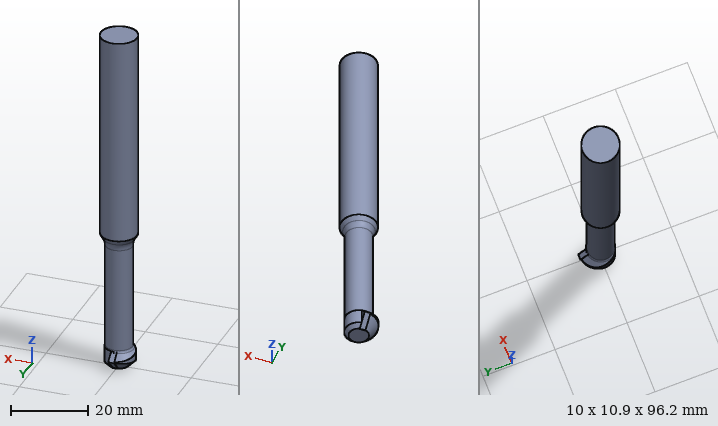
import cadquery as cq
import math

total_length = 96.24
shank_diameter = 10.0
shank_length = 57.7
neck_diameter = 7.4
taper_angle = math.radians(30)
taper_fillet_radius = 4.0

tip_reach = 5.91
tip_height = 3.4
flank_angle = math.radians(45)
insert_width = 1.6
head_bottom = 0.15
head_core_radius = 3.8
head_fillet_radius = 1.0
relief_radius = 4.75

shank_radius = shank_diameter / 2
neck_radius = neck_diameter / 2
shank_bottom = total_length - shank_length
blend_end_radius = neck_radius + taper_fillet_radius * (1 - math.cos(taper_angle))
taper_bottom = shank_bottom - (shank_radius - blend_end_radius) / math.tan(taper_angle)
blend_bottom = taper_bottom - taper_fillet_radius * math.sin(taper_angle)
blend_mid_radius = neck_radius + taper_fillet_radius * (1 - math.cos(taper_angle / 2))
blend_mid_height = blend_bottom + taper_fillet_radius * math.sin(taper_angle / 2)
relief_center_y = relief_radius - head_core_radius
relief_top_y = relief_center_y + relief_radius
rake_x = insert_width / 2
cone_top = tip_height + tip_reach - neck_radius
insert_end_y = tip_reach - tip_height
head_bottom_radius = insert_end_y + head_bottom
head_fillet_top = cone_top + head_fillet_radius * math.tan(flank_angle / 2)
head_fillet_outer_radius = neck_radius + head_fillet_radius * (1 - math.cos(flank_angle))
head_fillet_bottom = head_fillet_top - head_fillet_radius * math.sin(flank_angle)
head_fillet_mid_radius = neck_radius + head_fillet_radius * (1 - math.cos(flank_angle / 2))
head_fillet_mid_height = head_fillet_top - head_fillet_radius * math.sin(flank_angle / 2)


def make_body():
    """Shank, conical transition and neck turned about the tool axis."""
    return (
        cq.Workplane("XZ")
        .moveTo(0, tip_height)
        .lineTo(neck_radius, tip_height)
        .lineTo(neck_radius, blend_bottom)
        .threePointArc((blend_mid_radius, blend_mid_height), (blend_end_radius, taper_bottom))
        .lineTo(shank_radius, shank_bottom)
        .lineTo(shank_radius, total_length)
        .lineTo(0, total_length)
        .close()
        .revolve(360, (0, 0, 0), (0, 1, 0))
    )


def make_head():
    """Double cone trimmed to a part-eccentric outline, relieved on the -X side."""
    double_cone = (
        cq.Workplane("XZ")
        .moveTo(0, head_bottom)
        .lineTo(head_bottom_radius, head_bottom)
        .lineTo(tip_reach, tip_height)
        .lineTo(head_fillet_outer_radius, head_fillet_bottom)
        .threePointArc((head_fillet_mid_radius, head_fillet_mid_height), (neck_radius, head_fillet_top))
        .lineTo(0, head_fillet_top)
        .close()
        .revolve(360, (0, 0, 0), (0, 1, 0))
    )
    outline = (
        cq.Workplane("XY")
        .moveTo(0, -head_core_radius)
        .threePointArc((head_core_radius, 0), (0, head_core_radius))
        .lineTo(0, relief_top_y)
        .threePointArc((-relief_radius, relief_center_y), (0, -head_core_radius))
        .close()
        .extrude(head_fillet_top)
    )
    return double_cone.intersect(outline)


def make_insert():
    """V-pointed cutting insert set across the +Y side of the head, relieved at its lower end."""
    blade = (
        cq.Workplane("YZ", origin=(-rake_x, 0, 0))
        .moveTo(0, head_bottom)
        .lineTo(insert_end_y - head_bottom, head_bottom)
        .lineTo(insert_end_y, 0)
        .lineTo(tip_reach, tip_height)
        .lineTo(neck_radius, cone_top)
        .lineTo(0, cone_top)
        .close()
        .extrude(insert_width)
    )
    end_relief = (
        cq.Workplane("XZ")
        .moveTo(rake_x, 0)
        .lineTo(-rake_x, head_bottom)
        .lineTo(-rake_x, 0)
        .close()
        .extrude(-tip_reach)
    )
    return blade.cut(end_relief)


result = make_body().union(make_head()).union(make_insert())